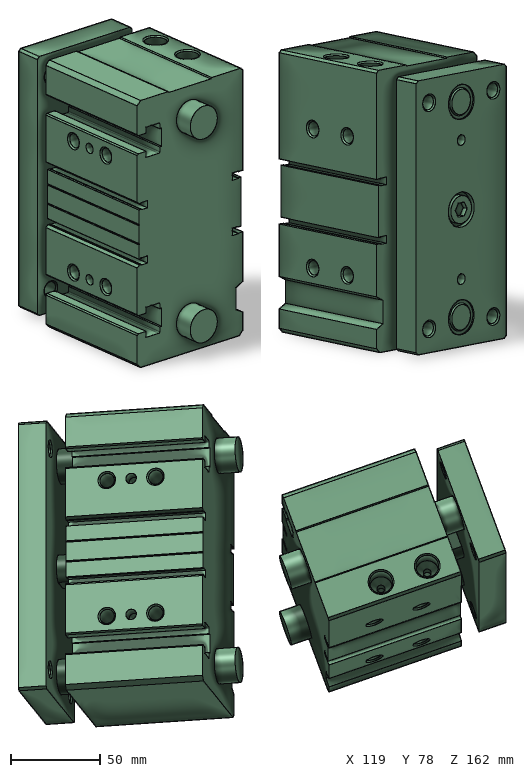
import cadquery as cq
import math


HOUSING_LENGTH = 79.0
HOUSING_WIDTH = 78.0
HOUSING_HEIGHT = 162.0
PLATE_THICKNESS = 16.0
PLATE_WIDTH = 70.0
PLATE_HEIGHT = 157.1
PLATE_GAP = 12.0
GUIDE_OVERHANG = 12.0
HALF_WIDTH = HOUSING_WIDTH / 2
HALF_HEIGHT = HOUSING_HEIGHT / 2
PLATE_BACK_X = -PLATE_GAP
PLATE_FRONT_X = PLATE_BACK_X - PLATE_THICKNESS
SIGNS = (-1, 1)

GUIDE_DIAMETER = 20.0
GUIDE_OFFSET = 61.7
GUIDE_TIP_DIAMETER = 16.0
GUIDE_TIP_FACE_DIAMETER = 14.5
GUIDE_TIP_LENGTH = 1.0
PISTON_DIAMETER = 20.0
PISTON_DEPTH = HOUSING_LENGTH / 2
PISTON_TIP_DIAMETER = 16.0
PISTON_ACROSS_FLATS = 16.0
PISTON_ROUND_LENGTH = 1.3
PISTON_RECESS_DIAMETER = 20.1
PISTON_RECESS_DEPTH = 3.2
HEX_ACROSS_FLATS = 8.0
HEX_DEPTH = 3.2

CORNER_CHAMFER = 2.6
PORT_CORNER_CHAMFER = 1.5
TOP_RECESS_HALF_WIDTH = 16.0
TOP_RECESS_DEPTH = 0.6
BAND_HALF_HEIGHT = 14.9
BAND_INSET = 1.3
SIDE_SLOT_HEIGHT = 3.7
SIDE_SLOT_DEPTH = 7.6
SIDE_SLOT_LIP = 3.2
SIDE_SLOT_UNDERCUT = 0.3
SIDE_SLOT_CHAMFER_DEPTH = 1.8
SIDE_SLOT_CHAMFER_HEIGHT = 1.3
BAND_GROOVE_OFFSET = 5.8
BAND_GROOVE_WIDTH = 0.8
BAND_GROOVE_DEPTH = 0.5

T_SLOT_OFFSET = 54.6
T_SLOT_MOUTH = 11.0
T_SLOT_CHAMFER = 0.8
T_SLOT_LIP = 6.6
T_SLOT_HEAD = 18.3
T_SLOT_DEPTH = 16.7
T_SLOT_FILLET = 0.6
T_SLOT_RELIEF_DEPTH = 1.5

TAPER_SLOT_CENTRE = -58.0
TAPER_SLOT_MOUTH = 18.6
TAPER_SLOT_DEPTH = 4.9
TAPER_SLOT_ANGLE = 28

BOLT_HOLE_DIAMETER = 8.3
BOLT_HOLE_RIM_DIAMETER = 10.0
BOLT_RIM_DEPTH = (BOLT_HOLE_RIM_DIAMETER - BOLT_HOLE_DIAMETER) / 2
DOWEL_DIAMETER = 6.0
DOWEL_DEPTH = 8.1
DOWEL_OFFSET = 39.9
DRILL_POINT_ANGLE = 118
SIDE_HOLE_MIDDLE_X = 37.9
SIDE_HOLE_SPACING = 28.0
PLATE_HOLE_Y = 25.0
PLATE_HOLE_Z = 64.8
PLATE_CHAMFER = 1.5
PORT_XS = (16.5, 44.0)
PORT_Y = 28.0
PORT_DIAMETER = 12.8
PORT_RIM_DIAMETER = 14.4
PORT_DEPTH = 13.0
PORT_PASSAGE_DIAMETER = 4.4
PORT_PASSAGE_DEPTH = 22.7


def cone_height(diameter):
    """Height of a drill point of the given diameter."""
    return diameter / 2 / math.tan(math.radians(DRILL_POINT_ANGLE / 2))


def x_cylinder(diameter, x_start, x_end, z=0):
    """Cylinder along X."""
    return cq.Workplane("YZ", origin=(x_start, 0, z)).circle(diameter / 2).extrude(x_end - x_start)


def turned(profile, origin, direction):
    """Solid turned about an X, Y or Z axis.

    The profile holds (radius, depth) points, with depth counted along direction.
    """
    side = cq.Vector(0, 0, 1) if direction[2] == 0 else cq.Vector(1, 0, 0)
    axis = cq.Vector(*direction)
    plane = cq.Plane(origin=origin, xDir=side, normal=side.cross(axis))
    return cq.Workplane(plane).polyline(profile).close().revolve(360, (0, 0), (0, 1))


def blind_hole(diameter, depth, origin, direction):
    """Drilled hole with a conical end."""
    radius = diameter / 2
    profile = [(0, 0), (radius, 0), (radius, depth), (0, depth + cone_height(diameter))]
    return turned(profile, origin, direction)


def bolt_hole(length, origin, direction):
    """Through hole with a chamfered rim at both ends."""
    inner = BOLT_HOLE_DIAMETER / 2
    rim = BOLT_HOLE_RIM_DIAMETER / 2
    profile = [
        (0, 0),
        (rim, 0),
        (inner, BOLT_RIM_DEPTH),
        (inner, length - BOLT_RIM_DEPTH),
        (rim, length),
        (0, length),
    ]
    return turned(profile, origin, direction)


def channel(points):
    """Cutter with the given (Y, Z) outline running the whole length of the housing."""
    return cq.Workplane("YZ").polyline(points).close().extrude(HOUSING_LENGTH)


def housing_blank():
    """Block with four chamfered edges; the edge next to the ports has the smaller chamfer."""
    block = cq.Workplane("YZ").rect(HOUSING_WIDTH, HOUSING_HEIGHT).extrude(HOUSING_LENGTH)
    port_edge = cq.selectors.NearestToPointSelector((HOUSING_LENGTH / 2, HALF_WIDTH, HALF_HEIGHT))
    block = block.edges(port_edge).chamfer(PORT_CORNER_CHAMFER)
    for y_sign, z_sign in ((-1, 1), (-1, -1), (1, -1)):
        corner = (HOUSING_LENGTH / 2, y_sign * HALF_WIDTH, z_sign * HALF_HEIGHT)
        block = block.edges(cq.selectors.NearestToPointSelector(corner)).chamfer(CORNER_CHAMFER)
    return block


def top_recess():
    """Shallow flat recess with sloping sides along the top."""
    floor_half = TOP_RECESS_HALF_WIDTH - TOP_RECESS_DEPTH
    floor_z = HALF_HEIGHT - TOP_RECESS_DEPTH
    return channel([
        (-TOP_RECESS_HALF_WIDTH, HALF_HEIGHT),
        (-floor_half, floor_z),
        (floor_half, floor_z),
        (TOP_RECESS_HALF_WIDTH, HALF_HEIGHT),
    ])


def side_band(side):
    """Cutter for the set-back band in the middle of one side and the two undercut slots beside it."""
    face = side * HALF_WIDTH
    band = side * (HALF_WIDTH - BAND_INSET)
    lip = side * (HALF_WIDTH - SIDE_SLOT_LIP)
    floor = side * (HALF_WIDTH - SIDE_SLOT_DEPTH)
    slot_top = BAND_HALF_HEIGHT + SIDE_SLOT_HEIGHT
    if side < 0:
        chamfer_y = face + SIDE_SLOT_CHAMFER_DEPTH
        mouth = [(face, slot_top + SIDE_SLOT_CHAMFER_HEIGHT), (chamfer_y, slot_top)]
    else:
        mouth = [(face, slot_top)]
    upper = mouth + [
        (lip, slot_top),
        (lip, slot_top + SIDE_SLOT_UNDERCUT),
        (floor, slot_top + SIDE_SLOT_UNDERCUT),
        (floor, BAND_HALF_HEIGHT - SIDE_SLOT_UNDERCUT),
        (lip, BAND_HALF_HEIGHT - SIDE_SLOT_UNDERCUT),
        (lip, BAND_HALF_HEIGHT),
        (band, BAND_HALF_HEIGHT),
    ]
    lower = [(y, -z) for y, z in reversed(upper)]
    return channel(upper + lower)


def band_groove(z):
    """Fine V-groove along the set-back band of the -Y side."""
    band_y = -HALF_WIDTH + BAND_INSET
    half = BAND_GROOVE_WIDTH / 2
    return channel([(band_y, z + half), (band_y + BAND_GROOVE_DEPTH, z), (band_y, z - half)])


def slot_box(z, height, depth):
    """Box along the whole housing, reaching from the -Y face to the given depth."""
    box = cq.Workplane("XY").box(HOUSING_LENGTH, depth, height, centered=(False, False, True))
    return box.translate((0, -HALF_WIDTH, z))


def t_slot(z):
    """T-slot in the -Y side with a chamfered mouth, rounded inner corners and a relief in its floor."""
    face = -HALF_WIDTH
    mouth = T_SLOT_MOUTH / 2
    head = slot_box(z, T_SLOT_HEAD, T_SLOT_DEPTH).edges("|X and >Y").fillet(T_SLOT_FILLET)
    head = head.cut(slot_box(z, T_SLOT_HEAD, T_SLOT_LIP))
    relief_and_mouth = slot_box(z, T_SLOT_MOUTH, T_SLOT_DEPTH + T_SLOT_RELIEF_DEPTH)
    chamfers = channel([
        (face, z + mouth + T_SLOT_CHAMFER),
        (face + T_SLOT_CHAMFER, z + mouth),
        (face + T_SLOT_CHAMFER, z - mouth),
        (face, z - mouth - T_SLOT_CHAMFER),
    ])
    return head.union(relief_and_mouth).union(chamfers)


def taper_slot():
    """Slot with sloping sides in the +Y side."""
    mouth = TAPER_SLOT_MOUTH / 2
    floor = mouth - TAPER_SLOT_DEPTH * math.tan(math.radians(TAPER_SLOT_ANGLE))
    floor_y = HALF_WIDTH - TAPER_SLOT_DEPTH
    return channel([
        (HALF_WIDTH, TAPER_SLOT_CENTRE + mouth),
        (floor_y, TAPER_SLOT_CENTRE + floor),
        (floor_y, TAPER_SLOT_CENTRE - floor),
        (HALF_WIDTH, TAPER_SLOT_CENTRE - mouth),
    ])


def port(x, passage_tip):
    """Port from the top: chamfered rim, bore with a conical end, and a narrow passage below it.

    passage_tip is the height of the cone that ends the passage, or 0 for a flat end.
    """
    rim = PORT_RIM_DIAMETER / 2
    bore = PORT_DIAMETER / 2
    passage = PORT_PASSAGE_DIAMETER / 2
    cone_end = PORT_DEPTH + cone_height(PORT_DIAMETER) - cone_height(PORT_PASSAGE_DIAMETER)
    profile = [
        (0, 0),
        (rim, 0),
        (bore, rim - bore),
        (bore, PORT_DEPTH),
        (passage, cone_end),
        (passage, PORT_PASSAGE_DEPTH),
        (0, PORT_PASSAGE_DEPTH + passage_tip),
    ]
    return turned(profile, (x, PORT_Y, HALF_HEIGHT), (0, 0, -1))


def build_housing():
    """Housing with its grooves, rod bores, mounting holes and ports."""
    housing = housing_blank().cut(top_recess()).cut(taper_slot())
    for side in SIGNS:
        housing = housing.cut(side_band(side))
    for sign in SIGNS:
        housing = housing.cut(band_groove(sign * BAND_GROOVE_OFFSET))
        housing = housing.cut(t_slot(sign * T_SLOT_OFFSET))
        housing = housing.cut(x_cylinder(GUIDE_DIAMETER, 0, HOUSING_LENGTH, z=sign * GUIDE_OFFSET))
        z = sign * DOWEL_OFFSET
        dowel_origin = (SIDE_HOLE_MIDDLE_X, -HALF_WIDTH, z)
        housing = housing.cut(blind_hole(DOWEL_DIAMETER, DOWEL_DEPTH, dowel_origin, (0, 1, 0)))
        for along in SIGNS:
            x = SIDE_HOLE_MIDDLE_X + along * SIDE_HOLE_SPACING / 2
            housing = housing.cut(bolt_hole(HOUSING_WIDTH, (x, -HALF_WIDTH, z), (0, 1, 0)))
    passage_tips = (0, cone_height(PORT_PASSAGE_DIAMETER))
    for x, tip in zip(PORT_XS, passage_tips):
        housing = housing.cut(port(x, tip))
    return housing.cut(x_cylinder(PISTON_DIAMETER, 0, PISTON_DEPTH))


def build_plate():
    """Tool plate with the openings for the three rods and its own mounting holes."""
    plate = cq.Workplane("YZ", origin=(PLATE_FRONT_X, 0, 0)).rect(PLATE_WIDTH, PLATE_HEIGHT)
    plate = plate.extrude(PLATE_THICKNESS).edges("|X").chamfer(PLATE_CHAMFER)
    plate = plate.cut(x_cylinder(PISTON_TIP_DIAMETER, PLATE_FRONT_X, PLATE_BACK_X))
    recess_end = PLATE_FRONT_X + PISTON_RECESS_DEPTH
    plate = plate.cut(x_cylinder(PISTON_RECESS_DIAMETER, PLATE_FRONT_X, recess_end))
    for sign in SIGNS:
        plate = plate.cut(x_cylinder(GUIDE_DIAMETER, PLATE_FRONT_X, PLATE_BACK_X, z=sign * GUIDE_OFFSET))
        dowel_origin = (PLATE_FRONT_X, 0, sign * DOWEL_OFFSET)
        plate = plate.cut(blind_hole(DOWEL_DIAMETER, DOWEL_DEPTH, dowel_origin, (1, 0, 0)))
        for side in SIGNS:
            origin = (PLATE_FRONT_X, side * PLATE_HOLE_Y, sign * PLATE_HOLE_Z)
            plate = plate.cut(bolt_hole(PLATE_THICKNESS, origin, (1, 0, 0)))
    return plate


def build_guide_rod(z):
    """Guide rod whose tapered tip ends level with the front of the plate."""
    length = PLATE_THICKNESS + PLATE_GAP + HOUSING_LENGTH + GUIDE_OVERHANG
    radius = GUIDE_DIAMETER / 2
    profile = [
        (0, 0),
        (GUIDE_TIP_FACE_DIAMETER / 2, 0),
        (GUIDE_TIP_DIAMETER / 2, GUIDE_TIP_LENGTH),
        (radius, GUIDE_TIP_LENGTH),
        (radius, length),
        (0, length),
    ]
    return turned(profile, (PLATE_FRONT_X, 0, z), (1, 0, 0))


def wrench_flat(side):
    """Cutter for one wrench flat on the piston rod, between the plate and the short round end."""
    length = PLATE_GAP - PISTON_ROUND_LENGTH
    box = cq.Workplane("XY").box(length, PISTON_DIAMETER, PISTON_DIAMETER, centered=(False, True, True))
    return box.translate((PLATE_BACK_X, 0, side * (PISTON_ACROSS_FLATS + PISTON_DIAMETER) / 2))


def build_piston_rod():
    """Piston rod with wrench flats in the gap and a thinner tip through the plate, with a hexagon socket."""
    rod = x_cylinder(PISTON_DIAMETER, PLATE_BACK_X, PISTON_DEPTH)
    for side in SIGNS:
        rod = rod.cut(wrench_flat(side))
    rod = rod.union(x_cylinder(PISTON_TIP_DIAMETER, PLATE_FRONT_X, PLATE_BACK_X))
    across_corners = HEX_ACROSS_FLATS / math.cos(math.pi / 6)
    socket = cq.Workplane("YZ", origin=(PLATE_FRONT_X, 0, 0)).polygon(6, across_corners)
    return rod.cut(socket.extrude(HEX_DEPTH))


housing = build_housing()
plate = build_plate()
guide_rods = [build_guide_rod(sign * GUIDE_OFFSET) for sign in SIGNS]
piston_rod = build_piston_rod()

result = cq.Compound.makeCompound([
    housing.val(),
    plate.val(),
    *[rod.val() for rod in guide_rods],
    piston_rod.val(),
])